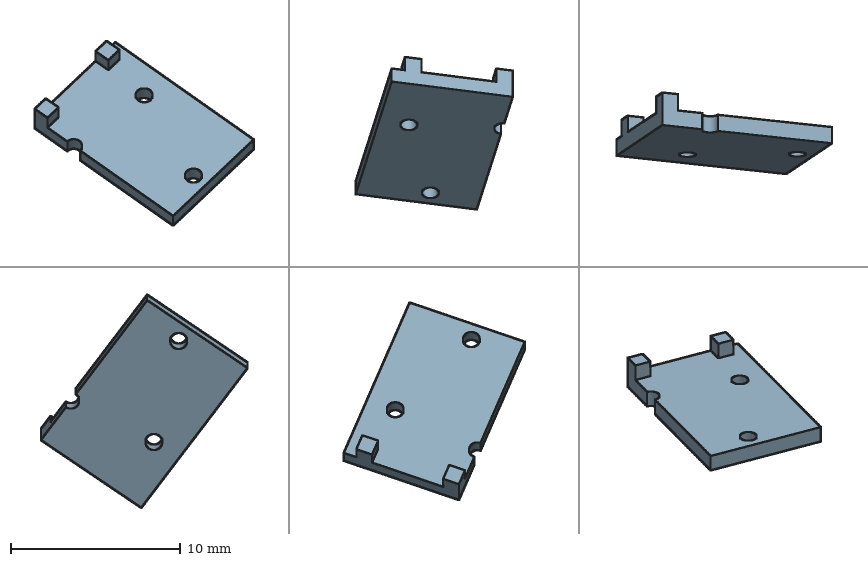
import cadquery as cq

plate_length = 10.79
plate_width = 7.3
plate_thickness = 1.0

post_side = 1.0
post_height = 1.0
front_post_y = 0.0
rear_post_y = 5.5

hole_diameter = 1.0
rear_hole_inset = 7.0
right_hole_inset = 1.0
notch_inset = 7.75
rear_hole_center = (plate_length - rear_hole_inset, 5.5)
right_hole_center = (plate_length - right_hole_inset, 3.0)
notch_center = (plate_length - notch_inset, 0.0)


def make_plate():
    return cq.Workplane("XY").box(plate_length, plate_width, plate_thickness, centered=False)


def make_post(start_y):
    """Post running from the plate's underside to its own top, flush with the left edge."""
    full_height = plate_thickness + post_height
    post = cq.Workplane("XY").box(post_side, post_side, full_height, centered=False)
    return post.translate((0, start_y, 0))


def make_round_cuts():
    centers = [rear_hole_center, right_hole_center, notch_center]
    return cq.Workplane("XY").pushPoints(centers).circle(hole_diameter / 2).extrude(plate_thickness)


result = make_plate()
for post_y in (front_post_y, rear_post_y):
    result = result.union(make_post(post_y))
result = result.cut(make_round_cuts())